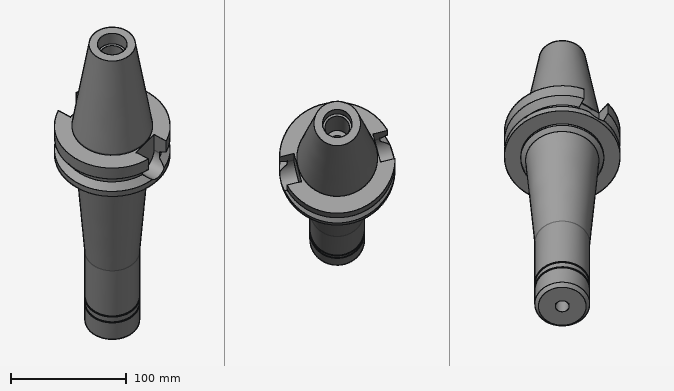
import cadquery as cq

total_length = 351.8
flange_top = 248.5
flange_thickness = 36.0
flange_bottom = flange_top - flange_thickness

taper_top_radius = 20.0
taper_base_radius = 35.0
taper_base = flange_top + 1.0

flange_radius = 50.0
groove_radius = 43.3
groove_start = 13.7
groove_floor_start = 18.5
groove_floor_end = 24.5
groove_end = 29.5

collar_radius = 36.0
collar_straight = 2.0
collar_height = 5.3
neck_radius = 31.5
nose_diameter = 47.5
nose_radius = nose_diameter / 2
nose_top = 90.0
end_chamfer_height = 3.0
end_chamfer_width = 3.0

ring_groove_heights = (24.5, 32.0)
ring_groove_width = 1.0
ring_groove_depth = 0.5

slot_width = 26.0
slot_depth = 32.7
slot_floor_offset = 35.2

entry_radius = 12.5
entry_depth = 13.5
thread_radius = 10.5
thread_depth = 56.3
through_radius = 6.0


def make_body():
    collar_bottom = flange_bottom - collar_height
    return (
        cq.Workplane("XZ")
        .moveTo(0, 0)
        .lineTo(nose_radius - end_chamfer_width, 0)
        .lineTo(nose_radius, end_chamfer_height)
        .lineTo(nose_radius, nose_top)
        .lineTo(neck_radius, collar_bottom)
        .lineTo(collar_radius, flange_bottom - collar_straight)
        .lineTo(collar_radius, flange_bottom)
        .lineTo(flange_radius, flange_bottom)
        .lineTo(flange_radius, flange_top - groove_end)
        .lineTo(groove_radius, flange_top - groove_floor_end)
        .lineTo(groove_radius, flange_top - groove_floor_start)
        .lineTo(flange_radius, flange_top - groove_start)
        .lineTo(flange_radius, flange_top)
        .lineTo(taper_base_radius, flange_top)
        .lineTo(taper_base_radius, taper_base)
        .lineTo(taper_top_radius, total_length)
        .lineTo(0, total_length)
        .close()
        .revolve(360, (0, 0, 0), (0, 1, 0))
    )


def make_ring_groove(height):
    return (
        cq.Workplane("XY", origin=(0, 0, height - ring_groove_width / 2))
        .circle(nose_radius + ring_groove_depth)
        .circle(nose_radius - ring_groove_depth)
        .extrude(ring_groove_width)
    )


def make_drive_slot(side):
    """Round-bottomed slot cutter, open at the flange top; side is +1 or -1 along X."""
    half_width = slot_width / 2
    slot_bottom = flange_top - slot_depth
    return (
        cq.Workplane("YZ", origin=(side * slot_floor_offset, 0, 0))
        .moveTo(-half_width, flange_top)
        .lineTo(-half_width, slot_bottom + half_width)
        .threePointArc((0, slot_bottom), (half_width, slot_bottom + half_width))
        .lineTo(half_width, flange_top)
        .close()
        .extrude(side * flange_radius)
    )


def make_bore(radius, depth):
    return cq.Workplane("XY", origin=(0, 0, total_length - depth)).circle(radius).extrude(depth)


result = make_body()
for ring_height in ring_groove_heights:
    result = result.cut(make_ring_groove(ring_height))
for slot_side in (-1, 1):
    result = result.cut(make_drive_slot(slot_side))
for bore_radius, bore_depth in (
    (entry_radius, entry_depth),
    (thread_radius, thread_depth),
    (through_radius, total_length),
):
    result = result.cut(make_bore(bore_radius, bore_depth))